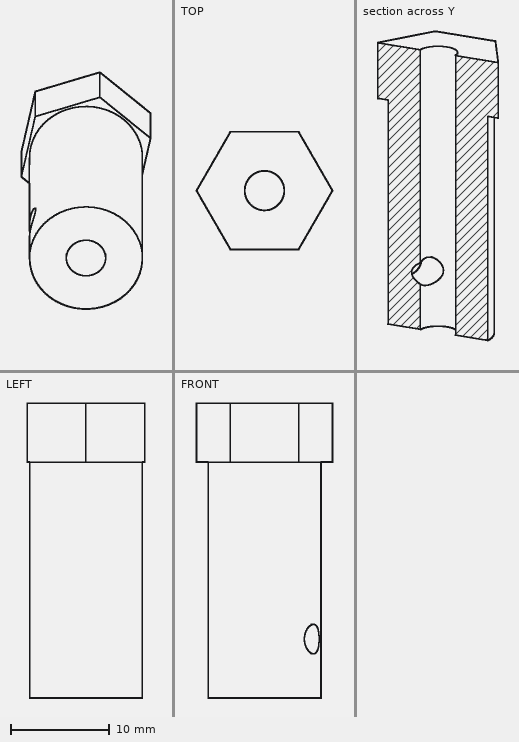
import cadquery as cq
import math

hex_across_flats = 12.0
hex_across_corners = hex_across_flats / math.cos(math.radians(30))
head_height = 6.0

total_height = 30.0
shank_diameter = 11.5
shank_height = total_height - head_height

bore_diameter = 4.0

screw_hole_diameter = 3.0
screw_hole_height = 6.0
screw_hole_angle = -30.0


def make_shank():
    return cq.Workplane("XY").circle(shank_diameter / 2).extrude(shank_height)


def make_head():
    """Hexagonal prism with two corners on the X axis."""
    return (
        cq.Workplane("XY")
        .workplane(offset=shank_height)
        .polygon(6, hex_across_corners)
        .extrude(head_height)
    )


def make_bore():
    return cq.Workplane("XY").circle(bore_diameter / 2).extrude(total_height)


def make_screw_hole():
    """Cutter running from the part axis out through one side of the shank."""
    return (
        cq.Workplane("YZ")
        .center(0, screw_hole_height)
        .circle(screw_hole_diameter / 2)
        .extrude(shank_diameter)
        .rotate((0, 0, 0), (0, 0, 1), screw_hole_angle)
    )


result = make_shank().union(make_head()).cut(make_bore()).cut(make_screw_hole())